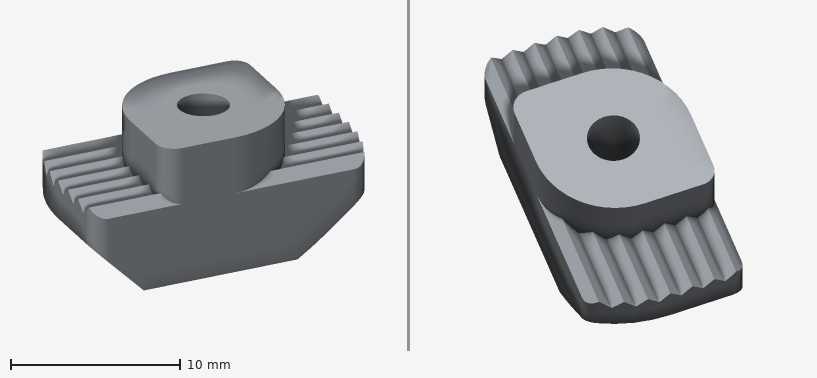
import cadquery as cq
import math

width = 9.7
length = 19.0
height = 8.8
hole_diameter = 3.14
corner_radius = 1.0
boss_arc_radius = 5.0
boss_large_corner_radius = 1.2
body_top = 5.78
chamfer_start = 3.3
tooth_count = 7
tooth_depth = 0.63

half_width = width / 2
half_length = length / 2
bottom_half_length = half_length - chamfer_start
tooth_pitch = width / tooth_count
tooth_root = body_top - tooth_depth


def round_edge(prism, x, y, radius):
    """Round the vertical edge of the prism at (x, y)."""
    edge_finder = cq.selectors.NearestToPointSelector((x, y, 0))
    return prism.edges("|Z").edges(edge_finder).fillet(radius)


def twist_prism(half_y, arc_radius, depth):
    """Rectangular prism with large arcs at +X+Y and -X-Y, tangent to its short ends.

    Returns the prism and the Y where the +X+Y arc meets the +X side.
    """
    center_offset = arc_radius - half_y
    arc_angle = math.asin((half_width + center_offset) / arc_radius)
    mid_x = arc_radius * math.sin(arc_angle / 2) - center_offset
    mid_y = arc_radius * math.cos(arc_angle / 2) - center_offset
    end_y = arc_radius * math.cos(arc_angle) - center_offset
    prism = (
        cq.Workplane("XY")
        .moveTo(-center_offset, half_y)
        .threePointArc((mid_x, mid_y), (half_width, end_y))
        .lineTo(half_width, -half_y)
        .lineTo(center_offset, -half_y)
        .threePointArc((-mid_x, -mid_y), (-half_width, -end_y))
        .lineTo(-half_width, half_y)
        .close()
        .extrude(depth)
    )
    return prism, end_y


def body_blank():
    """Long prism with the square corners and the ends of its arcs rounded."""
    blank, arc_end_y = twist_prism(half_length, half_length, body_top)
    for side in (-1, 1):
        blank = round_edge(blank, side * half_width, -side * half_length, corner_radius)
        blank = round_edge(blank, side * half_width, side * arc_end_y, corner_radius)
    return blank


def boss():
    """Raised boss, starting inside the body where the end slopes begin."""
    block, _ = twist_prism(half_width, boss_arc_radius, height - chamfer_start)
    block = round_edge(block, -half_width, half_width, corner_radius)
    block = round_edge(block, half_width, -half_width, boss_large_corner_radius)
    return block.translate((0, 0, chamfer_start))


def sloped_ends():
    """Envelope of the end slopes: conical behind the arcs, flat behind the straight ends."""
    profile = [
        (0, 0),
        (bottom_half_length, 0),
        (half_length, chamfer_start),
        (half_length, body_top),
        (0, body_top),
    ]
    cone = cq.Workplane("XZ").polyline(profile).close().revolve(90, (0, 0), (0, 1))
    cone = cone.intersect(cq.Workplane("XY").box(length, length, body_top, centered=False))
    flat = cq.Workplane("YZ").polyline(profile).close().extrude(-half_width)
    half = cone.union(flat)
    return half.union(half.rotate((0, 0, 0), (0, 0, 1), 180))


def tooth_grooves():
    """V grooves along Y, with half a groove at each long side."""
    grooves = cq.Workplane("XY")
    for i in range(tooth_count + 1):
        root_x = -half_width + i * tooth_pitch
        groove = (
            cq.Workplane("XZ")
            .moveTo(root_x, tooth_root)
            .lineTo(root_x + tooth_pitch / 2, body_top)
            .lineTo(root_x - tooth_pitch / 2, body_top)
            .close()
            .extrude(half_length, both=True)
        )
        grooves = grooves.add(groove)
    return grooves.combine()


body = body_blank().intersect(sloped_ends()).cut(tooth_grooves())
hole = cq.Workplane("XY").circle(hole_diameter / 2).extrude(height)

result = body.union(boss()).cut(hole)